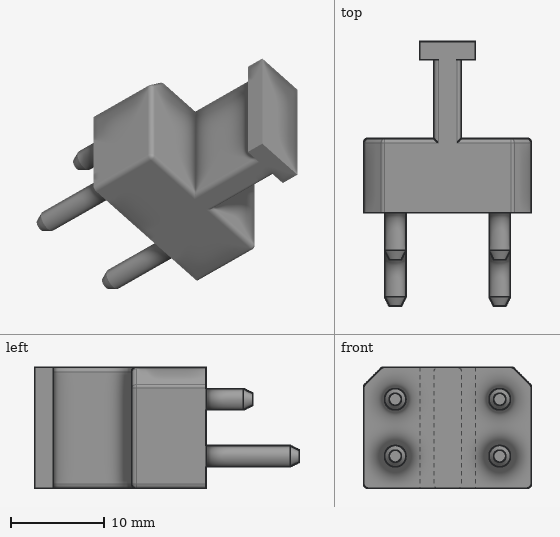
import cadquery as cq

body_width = 18.0
body_depth = 8.0
body_height = 13.0
corner_chamfer = 2.0
edge_radius = 0.5

stem_width = 3.0
stem_length = 8.4
head_width = 6.0
head_depth = 2.0

pin_diameter = 2.3
pin_tip_diameter = 1.3
pin_tip_length = 1.0
pin_spacing_x = 11.2
lower_pin_z = 3.45
pin_spacing_z = 6.1
lower_pin_length = 10.0
upper_pin_length = 5.0

selection_margin = 0.1
body_back_y = body_depth
stem_back_y = body_back_y + stem_length


def block(width, depth, front_y):
    """Full-height block centred on X, starting at front_y."""
    return (
        cq.Workplane("XY")
        .box(width, depth, body_height, centered=(True, False, False))
        .translate((0, front_y, 0))
    )


def edges_on_body_back(width):
    """Select edges centred in the body's back plane, within a width about X = 0.

    For the stem width these are the sharp corners between stem and body.
    """
    half_width = width / 2 + selection_margin
    return cq.selectors.BoxSelector(
        (-half_width, body_back_y - selection_margin, -selection_margin),
        (half_width, body_back_y + selection_margin, body_height + selection_margin),
    )


def make_body_and_stem():
    """Body with chamfered upper corners and its stem, rounded except on the front face."""
    body = block(body_width, body_depth, 0).edges("|Y and >Z").chamfer(corner_chamfer)
    stem = block(stem_width, stem_length, body_back_y)
    joined = body.union(stem)
    back_outline = edges_on_body_back(body_width) - edges_on_body_back(stem_width)
    running_edges = cq.selectors.ParallelDirSelector(cq.Vector(0, 1, 0))
    return joined.edges(running_edges + back_outline).fillet(edge_radius)


def make_pin(x, z, length):
    """Round pin along -Y with a conical tip."""
    radius = pin_diameter / 2
    profile = [
        (0, 0),
        (radius, 0),
        (radius, pin_tip_length - length),
        (pin_tip_diameter / 2, -length),
        (0, -length),
    ]
    pin = cq.Workplane("XY").polyline(profile).close().revolve(360, (0, 0, 0), (0, 1, 0))
    return pin.translate((x, 0, z))


result = make_body_and_stem().union(block(head_width, head_depth, stem_back_y))
for side in (-1, 1):
    pin_x = side * pin_spacing_x / 2
    result = result.union(make_pin(pin_x, lower_pin_z, lower_pin_length))
    result = result.union(make_pin(pin_x, lower_pin_z + pin_spacing_z, upper_pin_length))